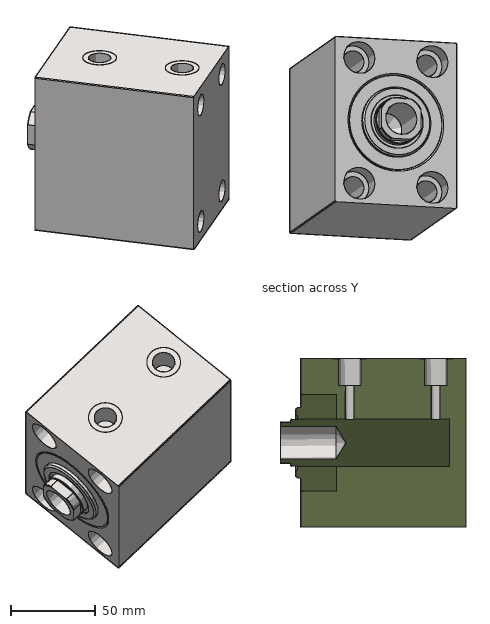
import cadquery as cq
import math


overall_length = 110.0
block_width = 75.0
block_height = 100.0
block_front = 12.0
block_length = overall_length - block_front
block_chamfer = 0.5
chamfer_angle = 45

mount_spacing_y = 45.0
mount_spacing_z = 76.0
mount_diameter = 13.0
mount_counterbore_diameter = 19.0
mount_counterbore_depth = 13.0

front_port_x = 41.0
rear_port_x = 92.0
port_spotface_diameter = 20.0
port_spotface_depth = 0.1
port_diameter = 13.2
port_depth = 16.0
port_passage_diameter = 5.0

gland_diameter = 57.0
gland_end = 33.0
gland_seat_chamfer = 1.0
collar_front = 9.0
collar_diameter = 42.0
collar_chamfer = 1.0
wiper_diameter = 32.0
wiper_depth = 1.0

rod_diameter = 28.0
rod_end = 100.0
rod_shoulder = 6.0
shoulder_chamfer = 0.5
tip_diameter = 27.5
tip_chamfer = 0.38
flat_width = 24.4
thread_hole_diameter = 19.0
thread_hole_depth = 33.0
drill_point_angle = 118.0


def cylinder_x(diameter, start, end):
    """Solid cylinder on the X axis between two X positions."""
    return cq.Workplane("YZ", origin=(start, 0, 0)).circle(diameter / 2).extrude(end - start)


def cut_mounting_holes(block):
    """Four through holes with counterbores opening on the front face."""
    for diameter, depth in (
        (mount_diameter, block_length),
        (mount_counterbore_diameter, mount_counterbore_depth),
    ):
        holes = (
            cq.Workplane("YZ", origin=(block_front, 0, 0))
            .rect(mount_spacing_y, mount_spacing_z, forConstruction=True)
            .vertices()
            .circle(diameter / 2)
            .extrude(depth)
        )
        block = block.cut(holes)
    return block


def cut_port(block, x):
    """Spotfaced port in the top face, with a narrow passage down to the rod."""
    for diameter, depth in (
        (port_spotface_diameter, port_spotface_depth),
        (port_diameter, port_depth),
        (port_passage_diameter, block_height / 2),
    ):
        step = (
            cq.Workplane("XY", origin=(x, 0, block_height / 2)).circle(diameter / 2).extrude(-depth)
        )
        block = block.cut(step)
    return block


def make_housing():
    """Block with mounting holes, oil ports, the gland seat and the blind rod bore."""
    block = (
        cq.Workplane("YZ", origin=(block_front, 0, 0))
        .rect(block_width, block_height)
        .extrude(block_length)
        .edges("|X")
        .chamfer(block_chamfer)
    )
    block = cut_mounting_holes(block)
    for x in (front_port_x, rear_port_x):
        block = cut_port(block, x)
    block = block.cut(cylinder_x(gland_diameter, block_front, gland_end))
    seat_chamfer = (
        cq.Workplane("YZ", origin=(block_front, 0, 0))
        .circle(gland_diameter / 2 + gland_seat_chamfer)
        .extrude(gland_seat_chamfer, taper=chamfer_angle)
    )
    block = block.cut(seat_chamfer)
    return block.cut(cylinder_x(rod_diameter, gland_end, rod_end))


def make_gland():
    """Guide ring flush with the block face, with a raised collar and a wiper recess."""
    collar = cylinder_x(collar_diameter, collar_front, gland_end).faces("<X").chamfer(collar_chamfer)
    gland = cylinder_x(gland_diameter, block_front, gland_end).union(collar)
    gland = gland.cut(cylinder_x(wiper_diameter, collar_front, collar_front + wiper_depth))
    return gland.cut(cylinder_x(rod_diameter, collar_front, gland_end))


def make_rod():
    """Plain rod with a square wrench tip and a drilled hole in its end."""
    rod = cylinder_x(rod_diameter, rod_shoulder, rod_end).faces("<X").chamfer(shoulder_chamfer)
    square = cq.Workplane("YZ").rect(flat_width, flat_width).extrude(rod_shoulder)
    tip = cylinder_x(tip_diameter, 0, rod_shoulder).faces("<X").chamfer(tip_chamfer)
    rod = rod.union(tip.intersect(square))
    hole_radius = thread_hole_diameter / 2
    point_depth = hole_radius / math.tan(math.radians(drill_point_angle / 2))
    hole = (
        cq.Workplane("XZ")
        .moveTo(0, 0)
        .lineTo(0, hole_radius)
        .lineTo(thread_hole_depth, hole_radius)
        .lineTo(thread_hole_depth + point_depth, 0)
        .close()
        .revolve(360, (0, 0), (1, 0))
    )
    return rod.cut(hole)


housing = make_housing()
gland = make_gland()
rod = make_rod()

bodies = [body.solids().val() for body in (housing, gland, rod)]
result = cq.Compound.makeCompound(bodies)